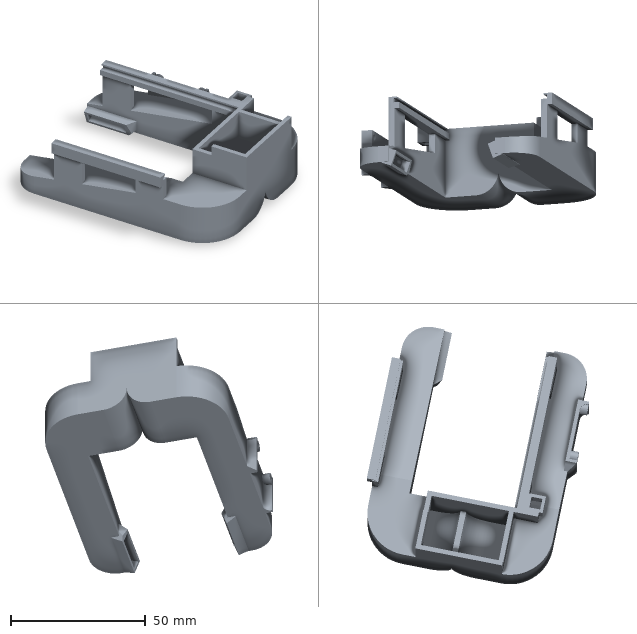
import cadquery as cq
import math

LENGTH = 89.2
WIDTH = 69.75
MID_Y = WIDTH / 2
ARM_WIDTH = 14.1
REAR_ARM_Y = WIDTH - ARM_WIDTH
BASE_HEIGHT = 15.5
TIP_HEIGHT = 6.1
RAMP_END_X = 60.9
BAR_X = 65.8
BAR_CORNER_R = 16.1
TIP_CORNER_R = 10.0

LOBE_R = 8.9
RIDGE_HALF_WIDTH = 1.1

WALL = 1.7
ROOF = 1.0
BOX_Y = (21.05, 53.9)
BOX_WALL_Y = 1.8
BOX_TOP = 29.9
LOW_TOP = 26.05
LOW_FRONT_END_X = 74.0
WING_END_Y = 63.1

RAIL_WIDTH = 4.3
RAIL_BOTTOM = 21.7
LEDGE_TOP = 23.9
GROOVE_TOP = 25.4
GROOVE_DEPTH = 2.2
UPPER_LIP_SETBACK = 1.0
FRONT_RAIL_Y = -2.05
REAR_RAIL_Y = 58.1
FRONT_RAIL_X = 18.7
REAR_RAIL_X = 6.8
POST_LENGTH = 11.95
FRONT_POST_Y = (0, FRONT_RAIL_Y + RAIL_WIDTH)
REAR_POST_Y = (REAR_ARM_Y, REAR_RAIL_Y)

TUBE_SIDE = 6.4
TUBE_HOLE_SIDE = 4.1
TUBE_BOTTOM = 20.2

CLIP_X = 18.7
CLIP_TOP_END_X = 42.55
CLIP_Y = 68.4
CLIP_OUTER_Y = 72.6
CLIP_TOP = 16.8
CLIP_WALL = 1.1
CLIP_FILLET_R = 2.7
CLIP_TOE_LENGTH = 3.1
CLIP_TOE_Z = 13.0
CLIP_CURVE_END = (43.5, 15.0)
CLIP_CURVE_MID = (42.9, 15.7)
BOSS_R = 2.1
BOSS_HOLE_D = 2.3
BOSS_Z = 14.45
BOSS_XS = (21.3, 40.0)

PAD_START_X = 0.4
PAD_END_X = 18.55
PAD_TILT = 20.0
PAD_HEIGHT = 6.0
PAD_DEPTH = 4.0
PAD_BOTTOM = -1.5
PAD_TIP_Y = 52.8
PAD_RIM = 1.0
PAD_POCKET_DEPTH = 3.0


def block(x0, x1, y0, y1, z0, z1):
    """Axis-aligned box between two opposite corners."""
    return cq.Workplane("XY").box(x1 - x0, y1 - y0, z1 - z0, centered=False).translate((x0, y0, z0))


def mirrored(shape):
    """Mirror across the mid-plane between the two arms."""
    return shape.translate((0, -MID_Y, 0)).mirror("XZ").translate((0, MID_Y, 0))


def base():
    plan = block(0, LENGTH, 0, WIDTH, 0, BASE_HEIGHT)
    plan = plan.edges("|Z and >X").fillet(BAR_CORNER_R)
    plan = plan.edges("|Z and <X").fillet(TIP_CORNER_R)
    plan = plan.cut(block(0, BAR_X, ARM_WIDTH, REAR_ARM_Y, 0, BASE_HEIGHT))
    above_ramp = (
        cq.Workplane("XZ")
        .polyline([(0, TIP_HEIGHT), (RAMP_END_X, BASE_HEIGHT), (0, BASE_HEIGHT)])
        .close()
        .extrude(-WIDTH)
    )
    return plan.cut(above_ramp)


def cusp(radius, half_width, floor, x0, x1):
    """Ridge along X whose two flanks are quarter arcs rising from the floor."""
    diagonal = radius * math.sqrt(0.5)
    arc_y = half_width + radius - diagonal
    arc_z = floor + radius - diagonal
    foot = half_width + radius
    peak = floor + radius
    profile = (
        cq.Workplane("YZ")
        .moveTo(MID_Y - foot, floor)
        .threePointArc((MID_Y - arc_y, arc_z), (MID_Y - half_width, peak))
    )
    if half_width:
        profile = profile.lineTo(MID_Y + half_width, peak)
    profile = profile.threePointArc((MID_Y + arc_y, arc_z), (MID_Y + foot, floor))
    return profile.close().extrude(x1 - x0).translate((x0, 0, 0))


def box():
    y0, y1 = BOX_Y
    low_x = BAR_X + WALL
    body = block(BAR_X, LENGTH, y0, y1, 0, BOX_TOP)
    body = body.cut(block(BAR_X, low_x, y0, y1, LOW_TOP, BOX_TOP))
    body = body.cut(block(BAR_X, LOW_FRONT_END_X, y0, y0 + BOX_WALL_Y, LOW_TOP, BOX_TOP))
    body = body.cut(block(BAR_X, LENGTH - WALL, y1 - BOX_WALL_Y, y1, LOW_TOP, BOX_TOP))
    wing = block(BAR_X, low_x, y1, WING_END_Y, 0, LOW_TOP)
    return body.union(wing)


def cavity():
    x0 = BAR_X + WALL
    x1 = LENGTH - WALL
    lower = block(x0, x1, WALL, WIDTH - WALL, WALL, BASE_HEIGHT - ROOF)
    lower = lower.edges("|Z and >X").fillet(BAR_CORNER_R - WALL)
    shaft = block(x0, x1, BOX_Y[0] + BOX_WALL_Y, BOX_Y[1] - BOX_WALL_Y, WALL, BOX_TOP)
    ridge = cusp(LOBE_R, RIDGE_HALF_WIDTH, WALL, x0, x1)
    return lower.union(shaft).cut(ridge)


def rail(x0, outer_y, inward):
    """Grooved rail; inward is +1 or -1, the Y direction its groove opens to."""
    groove_y = RAIL_WIDTH - GROOVE_DEPTH
    lip_y = RAIL_WIDTH - UPPER_LIP_SETBACK
    section = [
        (0, RAIL_BOTTOM),
        (RAIL_WIDTH, RAIL_BOTTOM),
        (RAIL_WIDTH, LEDGE_TOP),
        (groove_y, LEDGE_TOP),
        (groove_y, GROOVE_TOP),
        (lip_y, GROOVE_TOP),
        (lip_y, LOW_TOP),
        (0, LOW_TOP),
    ]
    points = [(outer_y + inward * y, z) for y, z in section]
    return cq.Workplane("YZ").polyline(points).close().extrude(BAR_X - x0).translate((x0, 0, 0))


def posts(x0, y_range):
    """Pair of posts under a rail, one at each end, with their feet sunk into the arm."""
    first = block(x0, x0 + POST_LENGTH, *y_range, TIP_HEIGHT, RAIL_BOTTOM)
    second = block(BAR_X - POST_LENGTH, BAR_X, *y_range, TIP_HEIGHT, RAIL_BOTTOM)
    return first.union(second)


def tube():
    x0 = BAR_X - TUBE_SIDE
    y1 = REAR_RAIL_Y + TUBE_SIDE
    rim = (TUBE_SIDE - TUBE_HOLE_SIDE) / 2
    outer = block(x0, BAR_X, REAR_RAIL_Y, y1, TUBE_BOTTOM, LOW_TOP)
    hole = block(x0 + rim, BAR_X - rim, REAR_RAIL_Y + rim, y1 - rim, TUBE_BOTTOM, LOW_TOP)
    return outer.cut(hole)


def clip():
    toe_x = CLIP_TOP_END_X + CLIP_TOE_LENGTH
    side = (
        cq.Workplane("XZ", origin=(0, CLIP_Y, 0))
        .moveTo(CLIP_X, 0)
        .lineTo(toe_x, 0)
        .lineTo(toe_x, CLIP_TOE_Z)
        .lineTo(*CLIP_CURVE_END)
        .threePointArc(CLIP_CURVE_MID, (CLIP_TOP_END_X, CLIP_TOP))
        .lineTo(CLIP_X, CLIP_TOP)
        .close()
        .extrude(CLIP_Y - CLIP_OUTER_Y)
    )
    toe_chamfer = (
        cq.Workplane("XY")
        .polyline([(CLIP_TOP_END_X, CLIP_OUTER_Y), (toe_x, CLIP_OUTER_Y), (toe_x, WIDTH)])
        .close()
        .extrude(CLIP_TOP)
    )
    recess = block(CLIP_X + CLIP_WALL, CLIP_TOP_END_X - CLIP_WALL, WIDTH, CLIP_OUTER_Y, 0, CLIP_TOP)
    recess = recess.edges("|Z and <X and <Y").fillet(CLIP_FILLET_R)
    return side.cut(toe_chamfer).cut(recess)


def cylinder_y(x, radius, y0, y1):
    """Cylinder along Y at the boss height."""
    return cq.Workplane("XZ", origin=(x, y0, BOSS_Z)).circle(radius).extrude(y0 - y1)


def tilted(shape):
    """Place a shape drawn from the pad's lower outer corner in the rear pad's tilted position."""
    bottom_y = PAD_TIP_Y + PAD_HEIGHT * math.sin(math.radians(PAD_TILT))
    return shape.rotate((0, 0, 0), (1, 0, 0), PAD_TILT).translate((PAD_START_X, bottom_y, PAD_BOTTOM))


def pad():
    """Tilted block on the rear arm with its far end bevelled in plan and from below."""
    reach = 2 * PAD_HEIGHT
    body = tilted(block(0, PAD_END_X + reach, 0, PAD_DEPTH, 0, PAD_HEIGHT))
    bevel = [(0, 0), (PAD_END_X, 0), (PAD_END_X + reach, reach), (0, reach)]
    corner = (0, PAD_TIP_Y, PAD_BOTTOM)
    plan_bevel = cq.Workplane("XY", origin=corner).polyline(bevel).close().extrude(reach)
    side_bevel = cq.Workplane("XZ", origin=corner).polyline(bevel).close().extrude(-reach)
    return body.intersect(plan_bevel).intersect(side_bevel)


def pad_pocket():
    """Rectangular pocket in the outer face of the rear pad, running on into the arm."""
    length = PAD_END_X - PAD_START_X
    return tilted(
        block(PAD_RIM, length - PAD_RIM, 0, PAD_POCKET_DEPTH, PAD_RIM, PAD_HEIGHT - PAD_RIM)
    )


result = base().union(box()).cut(cusp(LOBE_R, 0, 0, BAR_X, LENGTH)).cut(cavity())
result = result.union(rail(FRONT_RAIL_X, FRONT_RAIL_Y, 1)).union(posts(FRONT_RAIL_X, FRONT_POST_Y))
result = result.union(rail(REAR_RAIL_X, REAR_RAIL_Y, -1)).union(posts(REAR_RAIL_X, REAR_POST_Y))
result = result.union(tube()).union(clip())

for boss_x in BOSS_XS:
    result = result.union(cylinder_y(boss_x, BOSS_R, WIDTH, CLIP_OUTER_Y))
    result = result.cut(cylinder_y(boss_x, BOSS_HOLE_D / 2, CLIP_Y, CLIP_OUTER_Y))

result = result.union(pad()).union(mirrored(pad()))
result = result.cut(pad_pocket()).cut(mirrored(pad_pocket()))